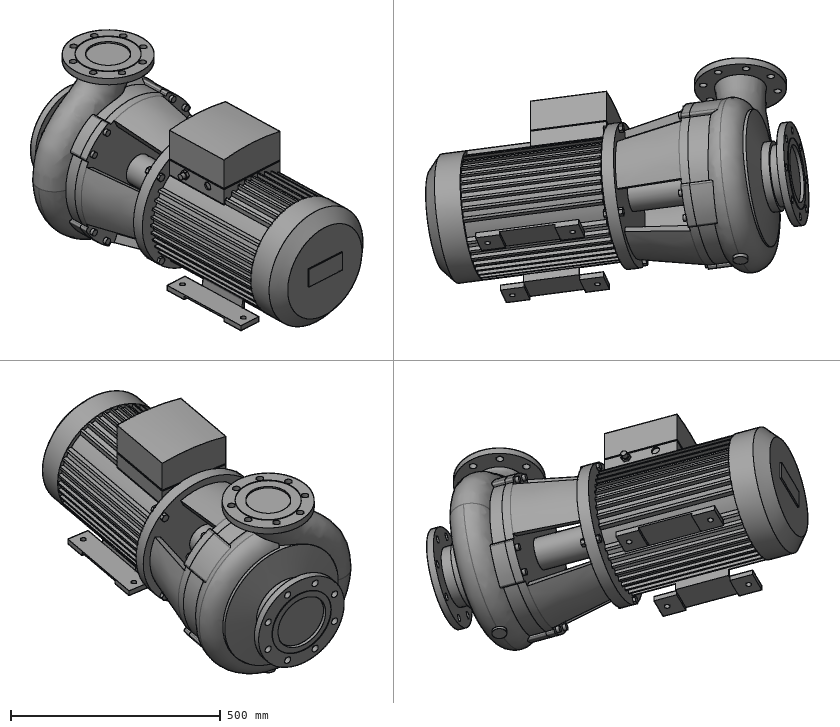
import cadquery as cq
import math


SUCTION_FLANGE_DIA = 250.0
SUCTION_FLANGE_END = 19.5
SUCTION_BORE_DIA = 139.0
SUCTION_BORE_DEPTH = 9.0
SUCTION_FACE_DIA = 172.0
SUCTION_BOLT_CIRCLE = 210.0
NECK_DIA = 150.0
NECK_END = 48.0
HUB_DIA = 169.0
HUB_END = 68.0
COVER_DIA = 332.0
COVER_CONE_END = 84.0
OUTLET_X = 139.0
OUTLET_TOP = 279.0
OUTLET_FLANGE_DIA = 220.0
OUTLET_FLANGE_THICKNESS = 19.5
OUTLET_BORE_DIA = 107.0
OUTLET_BORE_DEPTH = 4.0
OUTLET_FACE_DIA = 158.0
OUTLET_BOLT_CIRCLE = 180.0
OUTLET_NECK_RADIUS = 62.0
FLANGE_HOLES = 8
FLANGE_HOLE_DIA = 18.0
RAISED_FACE = 2.0
TUBE_START_RADIUS = 49.0
TUBE_END_RADIUS = 52.0
SCROLL_START = 153.0
SCROLL_END = 178.0
SCROLL_START_ANGLE = 90
SCROLL_END_ANGLE = -180
SCROLL_STEP = 15
DRAIN_DIA = 35.5
DRAIN_BOTTOM = -223.0
RING_START = OUTLET_X
JOINT_X = 222.0
RING_RADIUS = 190.0
PAD_RADIUS = 200.0
PAD_ANGLE = 29
PAD_EDGE_FILLET = 5.0
SECTOR_REACH = 2 * PAD_RADIUS
STUD_DIA = 16.0
STUD_LENGTH = 9.0
STUD_NEAR = 109.0
STUD_FAR = 153.0
LANTERN_RING_END = 243.0
LANTERN_FLANGE_START = 408.0
LANTERN_FLANGE_END = 438.0
LANTERN_FLANGE_RADIUS = 176.0
ARM_INNER_START = 167.0
ARM_OUTER_END = 156.0
ARM_INNER_END = 137.5
ARM_HALF_ANGLE = 25
SHAFT_DIA = 80.0
BOLT_DIA = 10.0
BOLT_HEX = 18.0
BOLT_OFFSET = 117.0
NUT_HEIGHT = 10.0
HEAD_HEIGHT = 7.0
MOTOR_START = 446.0
MOTOR_RADIUS = 156.0
CORE_RADIUS = 146.0
SPIGOT_DIA = 232.0
FIN_PITCH = 21.7
FIN_THICKNESS = 5.0
FINS_EACH_SIDE = 4
FAN_COVER_START = 790.0
FAN_COVER_TAPER = 853.0
FAN_COVER_END = 883.5
FAN_COVER_END_RADIUS = 123.0
PLATE_END = 887.0
PLATE_WIDTH = 112.0
PLATE_HEIGHT = 50.0
PLATE_Z = 6.0
FOOT_START = 499.0
FOOT_LENGTH = 254.0
FOOT_OUTER = 153.0
FOOT_WIDTH = 59.0
FOOT_TOP = -145.5
FOOT_THICKNESS = 14.0
FOOT_PAD_LENGTH = 58.5
FOOT_RELIEF = 9.0
FOOT_HOLE_DIA = 13.0
FOOT_HOLE_INSET = 22.0
WEB_TOP = -127.0
BOX_LENGTH = 187.0
BOX_WIDTH = 186.0
BOX_BOTTOM = 114.0
BOX_EDGE_TOP = 241.0
BOX_CROWN = 8.0
LID_JOINT_Z = 158.0
LID_GROOVE = 2.0
ENTRY_DIA = 20.0
ENTRY_DEPTH = 4.0
ENTRY_Z = 143.0
GLAND_X = 503.0
ENTRY_X = 577.0
GLAND_HEX_LENGTH = 7.0
GLAND_DIA = 15.0
GLAND_LENGTH = 19.0


def turned(points):
    """Solid of revolution about the pump axis from (x, radius) points."""
    return cq.Workplane("XY").polyline(points).close().revolve(360, (0, 0), (1, 0))


def rod(x_start, x_end, diameter, y=0.0, z=0.0):
    """Cylinder parallel to the pump axis."""
    return cq.Workplane("YZ", origin=(x_start, y, z)).circle(diameter / 2).extrude(x_end - x_start)


def hexagon(x_start, length, across_flats, y, z):
    corner_dia = across_flats / math.cos(math.pi / 6)
    return cq.Workplane("YZ", origin=(x_start, y, z)).polygon(6, corner_dia).extrude(length)


def block(x_range, y_range, z_range):
    size = [high - low for low, high in (x_range, y_range, z_range)]
    corner = (x_range[0], y_range[0], z_range[0])
    return cq.Workplane("XY", origin=corner).box(*size, centered=False)


def turn_copies(body, count=4):
    """The body repeated evenly around the pump axis, as a list."""
    return [body.rotate((0, 0, 0), (1, 0, 0), i * 360 / count) for i in range(count)]


def ring_sector(x_start, x_end, first_angle, last_angle):
    """Wedge with its tip on the pump axis; angles run from +Y toward +Z."""
    corners = [(0, 0)]
    for angle in (first_angle, last_angle):
        a = math.radians(angle)
        corners.append((SECTOR_REACH * math.cos(a), SECTOR_REACH * math.sin(a)))
    return cq.Workplane("YZ", origin=(x_start, 0, 0)).polyline(corners).close().extrude(x_end - x_start)


def joint_pads(x_start, x_end):
    """Four ring sectors that stand proud of the joint ring, between the lantern arms."""
    sector = ring_sector(x_start, x_end, PAD_ANGLE, 90 - PAD_ANGLE)
    pad = rod(x_start, x_end, 2 * PAD_RADIUS).intersect(sector)
    return turn_copies(pad.edges("|X and (>Y or >Z)").fillet(PAD_EDGE_FILLET))


def pipe_flange(plane, diameter, face_dia, thickness):
    """Flange disc ending at the plane, with its raised face on the plane."""
    disc = plane.workplane(offset=-thickness).circle(diameter / 2).extrude(thickness - RAISED_FACE)
    face = plane.workplane(offset=-thickness).circle(face_dia / 2).extrude(thickness)
    return disc.union(face)


def flange_openings(plane, bolt_circle, thickness, bore_dia, bore_depth):
    holes = (
        plane.polarArray(bolt_circle / 2, 180 / FLANGE_HOLES, 360, FLANGE_HOLES)
        .circle(FLANGE_HOLE_DIA / 2)
        .extrude(-thickness)
    )
    bore = plane.circle(bore_dia / 2).extrude(-bore_depth)
    return holes.union(bore)


def tube_section(y, z, tangent, seam, radius):
    """Circular wire across the volute tube; tangent is its (y, z) heading, seam its start direction."""
    plane = cq.Plane(origin=(OUTLET_X, y, z), xDir=seam, normal=(0, *tangent))
    return cq.Workplane(plane).circle(radius).wires().val()


def scroll_tube():
    """Tube wound around the hub; it widens from the +Y side on."""
    sections = []
    for angle in range(SCROLL_START_ANGLE, SCROLL_END_ANGLE - 1, -SCROLL_STEP):
        growth = min(angle, 0) / SCROLL_END_ANGLE
        distance = SCROLL_START + growth * (SCROLL_END - SCROLL_START)
        radius = TUBE_START_RADIUS + growth * (TUBE_END_RADIUS - TUBE_START_RADIUS)
        y = math.cos(math.radians(angle))
        z = math.sin(math.radians(angle))
        sections.append(tube_section(distance * y, distance * z, (z, -y), (0, y, z), radius))
    return cq.Workplane(cq.Solid.makeLoft(sections))


def discharge_tube():
    """Tube that leaves the scroll and bends in an S up to the outlet flange."""
    flange_bottom = OUTLET_TOP - OUTLET_FLANGE_THICKNESS
    stations = [
        (-SCROLL_END, 0.0, (0.0, 1.0), TUBE_END_RADIUS),
        (-175.0, 35.5, (0.2, 0.98), TUBE_END_RADIUS),
        (-158.0, 82.0, (0.45, 0.9), 53.0),
        (-98.0, 145.5, (0.8, 0.6), 54.0),
        (-37.0, 189.0, (0.6, 0.8), 56.0),
        (-10.0, 226.0, (0.3, 0.95), 58.0),
        (0.0, flange_bottom, (0.0, 1.0), OUTLET_NECK_RADIUS),
    ]
    sections = [tube_section(y, z, tangent, (1, 0, 0), radius) for y, z, tangent, radius in stations]
    return cq.Workplane(cq.Solid.makeLoft(sections))


def make_casing():
    suction = cq.Workplane("YZ").transformed(rotate=(0, 180, 0))
    outlet = cq.Workplane("XY", origin=(OUTLET_X, 0, OUTLET_TOP))
    shell = turned([
        (SUCTION_BORE_DEPTH, 0),
        (SUCTION_BORE_DEPTH, NECK_DIA / 2),
        (NECK_END, NECK_DIA / 2),
        (NECK_END, HUB_DIA / 2),
        (HUB_END, HUB_DIA / 2),
        (COVER_CONE_END, COVER_DIA / 2),
        (RING_START, COVER_DIA / 2),
        (RING_START, RING_RADIUS),
        (JOINT_X, RING_RADIUS),
        (JOINT_X, 0),
    ])
    drain = cq.Workplane("XY", origin=(OUTLET_X, 0, DRAIN_BOTTOM)).circle(DRAIN_DIA / 2).extrude(DRAIN_DIA)
    casing = shell.union(scroll_tube()).union(discharge_tube()).union(drain)
    for pad in joint_pads(RING_START, JOINT_X):
        casing = casing.union(pad)
    casing = casing.union(pipe_flange(suction, SUCTION_FLANGE_DIA, SUCTION_FACE_DIA, SUCTION_FLANGE_END))
    casing = casing.union(pipe_flange(outlet, OUTLET_FLANGE_DIA, OUTLET_FACE_DIA, OUTLET_FLANGE_THICKNESS))
    suction_openings = flange_openings(
        suction, SUCTION_BOLT_CIRCLE, SUCTION_FLANGE_END, SUCTION_BORE_DIA, SUCTION_BORE_DEPTH
    )
    outlet_openings = flange_openings(
        outlet, OUTLET_BOLT_CIRCLE, OUTLET_FLANGE_THICKNESS, OUTLET_BORE_DIA, OUTLET_BORE_DEPTH
    )
    return casing.cut(suction_openings).cut(outlet_openings)


def lantern_arms():
    """Four arms cut from a conical shell by radial sides."""
    shell = turned([
        (LANTERN_RING_END, ARM_INNER_START),
        (LANTERN_RING_END, RING_RADIUS),
        (LANTERN_FLANGE_START, ARM_OUTER_END),
        (LANTERN_FLANGE_START, ARM_INNER_END),
    ])
    wedge = ring_sector(LANTERN_RING_END, LANTERN_FLANGE_START, -ARM_HALF_ANGLE, ARM_HALF_ANGLE)
    return turn_copies(shell.intersect(wedge))


def bolt_places():
    return [(y, z) for y in (-BOLT_OFFSET, BOLT_OFFSET) for z in (-BOLT_OFFSET, BOLT_OFFSET)]


def make_lantern():
    lantern = rod(JOINT_X, LANTERN_RING_END, 2 * RING_RADIUS)
    for pad in joint_pads(JOINT_X, LANTERN_RING_END):
        lantern = lantern.union(pad)
    lantern = lantern.union(rod(LANTERN_FLANGE_START, LANTERN_FLANGE_END, 2 * LANTERN_FLANGE_RADIUS))
    for arm in lantern_arms():
        lantern = lantern.union(arm)
    for y, z in ((STUD_NEAR, STUD_FAR), (STUD_FAR, STUD_NEAR)):
        stud = rod(LANTERN_RING_END, LANTERN_RING_END + STUD_LENGTH, STUD_DIA, y, z)
        for copy in turn_copies(stud):
            lantern = lantern.union(copy)
    for y, z in bolt_places():
        lantern = lantern.cut(rod(LANTERN_FLANGE_START, LANTERN_FLANGE_END, BOLT_DIA, y, z))
    return lantern


def make_shaft():
    return rod(LANTERN_RING_END, LANTERN_FLANGE_START, SHAFT_DIA)


def make_flange_bolt(y, z):
    """Bolt with its nut, through the lantern flange."""
    shank = rod(LANTERN_FLANGE_START, LANTERN_FLANGE_END, BOLT_DIA, y, z)
    nut = hexagon(LANTERN_FLANGE_START - NUT_HEIGHT, NUT_HEIGHT, BOLT_HEX, y, z)
    head = hexagon(LANTERN_FLANGE_END, HEAD_HEIGHT, BOLT_HEX, y, z)
    return shank.union(nut).union(head)


def motor_core():
    return rod(MOTOR_START, FAN_COVER_START, 2 * CORE_RADIUS)


def motor_fins():
    """Parallel cooling fins on all four sides, trimmed to the round outline of the motor."""
    length = (MOTOR_START, FAN_COVER_START)
    span = (-MOTOR_RADIUS, MOTOR_RADIUS)
    fins = motor_core()
    for i in range(-FINS_EACH_SIDE, FINS_EACH_SIDE + 1):
        middle = i * FIN_PITCH
        width = (middle - FIN_THICKNESS / 2, middle + FIN_THICKNESS / 2)
        fins = fins.union(block(length, width, span)).union(block(length, span, width))
    return fins.intersect(rod(MOTOR_START, FAN_COVER_START, 2 * MOTOR_RADIUS))


def make_foot():
    """Foot plate on the -Y side, relieved below its middle and joined to the motor by a web."""
    end = FOOT_START + FOOT_LENGTH
    inner = FOOT_OUTER - FOOT_WIDTH
    middle = (FOOT_START + FOOT_PAD_LENGTH, end - FOOT_PAD_LENGTH)
    bottom = FOOT_TOP - FOOT_THICKNESS
    plate = block((FOOT_START, end), (-FOOT_OUTER, -inner), (bottom, FOOT_TOP))
    plate = plate.cut(block(middle, (-FOOT_OUTER, -inner), (bottom, bottom + FOOT_RELIEF)))
    holes = (
        cq.Workplane("XY", origin=(0, -FOOT_OUTER + FOOT_WIDTH / 2, bottom))
        .pushPoints([(FOOT_START + FOOT_HOLE_INSET, 0), (end - FOOT_HOLE_INSET, 0)])
        .circle(FOOT_HOLE_DIA / 2)
        .extrude(FOOT_THICKNESS)
    )
    fin_face = FINS_EACH_SIDE * FIN_PITCH + FIN_THICKNESS / 2
    web = (
        cq.Workplane("YZ", origin=(middle[0], 0, 0))
        .polyline([
            (-inner, bottom + FOOT_RELIEF),
            (-inner, FOOT_TOP),
            (-fin_face, WEB_TOP),
            (-fin_face + FIN_THICKNESS, WEB_TOP),
            (-fin_face + FIN_THICKNESS, bottom + FOOT_RELIEF),
        ])
        .close()
        .extrude(middle[1] - middle[0])
    )
    return plate.cut(holes).union(web)


def box_blank():
    """Terminal box outline with its crowned top."""
    half = BOX_WIDTH / 2
    return (
        cq.Workplane("YZ", origin=(MOTOR_START, 0, 0))
        .moveTo(-half, BOX_BOTTOM)
        .lineTo(-half, BOX_EDGE_TOP)
        .threePointArc((0, BOX_EDGE_TOP + BOX_CROWN), (half, BOX_EDGE_TOP))
        .lineTo(half, BOX_BOTTOM)
        .close()
        .extrude(BOX_LENGTH)
    )


def make_motor():
    foot = make_foot()
    motor = motor_fins().cut(box_blank()).union(motor_core())
    motor = motor.union(rod(LANTERN_FLANGE_END, MOTOR_START, SPIGOT_DIA))
    return motor.union(foot).union(foot.mirror("XZ"))


def make_fan_cover():
    cover = turned([
        (FAN_COVER_START, 0),
        (FAN_COVER_START, MOTOR_RADIUS),
        (FAN_COVER_TAPER, MOTOR_RADIUS),
        (FAN_COVER_END, FAN_COVER_END_RADIUS),
        (FAN_COVER_END, 0),
    ])
    plate = block(
        (FAN_COVER_END, PLATE_END),
        (-PLATE_WIDTH / 2, PLATE_WIDTH / 2),
        (PLATE_Z - PLATE_HEIGHT / 2, PLATE_Z + PLATE_HEIGHT / 2),
    )
    return cover.union(plate)


def lid_groove():
    """Fine groove around the terminal box where its lid meets its base."""
    sheet = cq.Workplane("XY", origin=(MOTOR_START + BOX_LENGTH / 2, 0, LID_JOINT_Z))
    inside = 2 * LID_GROOVE
    outer = sheet.rect(BOX_LENGTH, BOX_WIDTH).extrude(LID_GROOVE)
    return outer.cut(sheet.rect(BOX_LENGTH - inside, BOX_WIDTH - inside).extrude(LID_GROOVE))


def make_terminal_box():
    """Box saddled on the motor core, with a cable gland and a spare cable entry."""
    box = box_blank().cut(motor_core()).cut(lid_groove())
    wall = -BOX_WIDTH / 2
    gland_plane = cq.Workplane("XZ", origin=(GLAND_X, wall, ENTRY_Z))
    nut = gland_plane.polygon(6, ENTRY_DIA / math.cos(math.pi / 6)).extrude(GLAND_HEX_LENGTH)
    gland = gland_plane.circle(GLAND_DIA / 2).extrude(GLAND_LENGTH)
    entry_plane = cq.Workplane("XZ", origin=(ENTRY_X, wall, ENTRY_Z))
    entry = entry_plane.circle(ENTRY_DIA / 2).extrude(-ENTRY_DEPTH)
    return box.union(nut).union(gland).cut(entry)


casing = make_casing()
lantern = make_lantern()
shaft = make_shaft()
flange_bolts = [make_flange_bolt(y, z) for y, z in bolt_places()]
motor = make_motor()
fan_cover = make_fan_cover()
terminal_box = make_terminal_box()

result = cq.Compound.makeCompound([
    casing.val(),
    lantern.val(),
    shaft.val(),
    *[bolt.val() for bolt in flange_bolts],
    motor.val(),
    fan_cover.val(),
    terminal_box.val(),
])